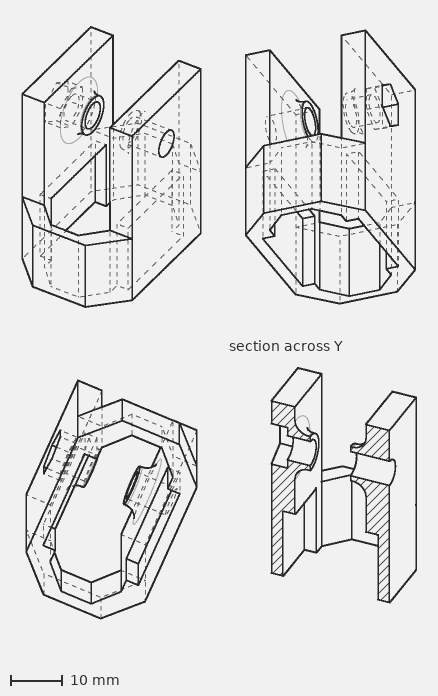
import cadquery as cq

width = 25.0
length = 38.1
height = 40.0

plate_length = 25.0
plate_thickness = 5.05
gap = width - 2 * plate_thickness
ring_height = 15.0
outer_end_width = 12.0
inner_end_width = 6.3
end_wall = 2.0

socket_side = 20.0

pivot_z = 30.0
bore_diameter = 5.5
boss_diameter = 8.0
boss_length = 3.2
boss_lip = 0.4
flare_radius = boss_length - boss_lip

hex_across_corners = 9.3
hex_depth = 3.35


def octagonal_prism(side_width, end_width, total_length, side_length, prism_height):
    """Octagon with flat ends in Y and sloped corners, raised from Z = 0."""
    points = [
        (side_width / 2, -side_length / 2),
        (side_width / 2, side_length / 2),
        (end_width / 2, total_length / 2),
        (-end_width / 2, total_length / 2),
        (-side_width / 2, side_length / 2),
        (-side_width / 2, -side_length / 2),
        (-end_width / 2, -total_length / 2),
        (end_width / 2, -total_length / 2),
    ]
    return cq.Workplane("XY").polyline(points).close().extrude(prism_height)


def flared_boss():
    """Boss on the -X plate: a short cylinder flaring concavely into the plate."""
    face_x = -gap / 2
    tip_x = face_x + boss_length
    lip_x = tip_x - boss_lip
    root_x = face_x - plate_thickness / 2
    boss_radius = boss_diameter / 2
    root_radius = boss_radius + flare_radius
    return (
        cq.Workplane("XY")
        .moveTo(root_x, 0)
        .lineTo(tip_x, 0)
        .lineTo(tip_x, boss_radius)
        .lineTo(lip_x, boss_radius)
        .radiusArc((face_x, root_radius), flare_radius)
        .lineTo(root_x, root_radius)
        .close()
        .revolve(360, (0, 0, 0), (1, 0, 0))
        .translate((0, 0, pivot_z))
    )


plates = cq.Workplane("XY").box(width, plate_length, height, centered=(True, True, False))
outer = octagonal_prism(width, outer_end_width, length, plate_length, ring_height)
opening = octagonal_prism(gap, inner_end_width, length - 2 * end_wall, plate_length, height)
socket = cq.Workplane("XY").box(
    socket_side, socket_side, ring_height, centered=(True, True, False)
)
body = plates.union(outer).cut(opening).cut(socket)

boss = flared_boss()
body = body.union(boss).union(boss.mirror("YZ"))

bore = (
    cq.Workplane("YZ", origin=(-width / 2, 0, pivot_z))
    .circle(bore_diameter / 2)
    .extrude(width)
)

nut_pocket = (
    cq.Workplane("YZ", origin=(-width / 2, 0, pivot_z))
    .transformed(rotate=(0, 0, 90))
    .polygon(6, hex_across_corners)
    .extrude(hex_depth)
)

result = body.cut(bore).cut(nut_pocket)